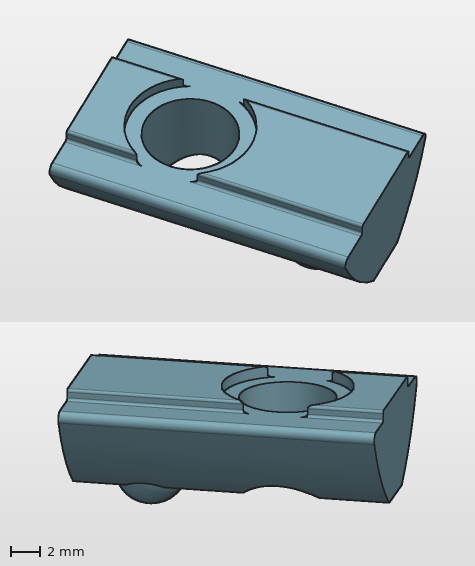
import cadquery as cq
import math

length = 22.0
width = 13.5
body_height = 7.2
total_height = 8.95
bottom_width = 4.0

rail_width = 7.8
rail_height = 0.8
rail_edge_radius = 0.2

edge_radius = 0.5
flank_radius = 15.0

bore_x = 7.5
bore_diameter = 6.65
recess_diameter = 9.0

ball_x = 17.0
ball_radius = 2.5

shoulder_z = -rail_height
bottom_z = -body_height


def flank_center():
    """Return (y, z) of the +Y flank arc center.

    The arc passes through the bottom corner and is internally tangent to
    the rounded long edge, so its center lies at known distances from both.
    """
    edge_y = width / 2 - edge_radius
    edge_z = shoulder_z - edge_radius
    corner_y = bottom_width / 2
    dy = edge_y - corner_y
    dz = edge_z - bottom_z
    span = math.hypot(dy, dz)
    to_edge = flank_radius - edge_radius
    along = (flank_radius**2 - to_edge**2 + span**2) / (2 * span)
    across = math.sqrt(flank_radius**2 - along**2)
    center_y = corner_y + (along * dy - across * dz) / span
    center_z = bottom_z + (along * dz + across * dy) / span
    return center_y, center_z


def point_on_arc(center, radius, angle):
    return center[0] + radius * math.cos(angle), center[1] + radius * math.sin(angle)


def half_body():
    """Extrude the +Y half of the cross-section along X."""
    edge_center = (width / 2 - edge_radius, shoulder_z - edge_radius)
    center = flank_center()
    tangent_angle = math.atan2(edge_center[1] - center[1], edge_center[0] - center[0])
    corner_angle = math.atan2(bottom_z - center[1], bottom_width / 2 - center[0])
    return (
        cq.Workplane("YZ")
        .moveTo(0, bottom_z)
        .lineTo(0, 0)
        .lineTo(rail_width / 2, 0)
        .lineTo(rail_width / 2, shoulder_z)
        .lineTo(edge_center[0], shoulder_z)
        .threePointArc(
            point_on_arc(edge_center, edge_radius, 0),
            point_on_arc(edge_center, edge_radius, tangent_angle),
        )
        .threePointArc(
            point_on_arc(center, flank_radius, (tangent_angle + corner_angle) / 2),
            (bottom_width / 2, bottom_z),
        )
        .close()
        .extrude(length)
    )


def rounded_body():
    """Join both halves and round the rail's top and root edges."""
    half = half_body()
    body = half.union(half.mirror("XZ")).clean()
    margin = rail_height / 4
    rail_edges = cq.selectors.BoxSelector(
        (0, -rail_width / 2 - margin, shoulder_z - margin),
        (length, rail_width / 2 + margin, margin),
    )
    return body.edges("|X").edges(rail_edges).fillet(rail_edge_radius)


def vertical_cylinder(x, diameter, top_z, floor_z):
    return (
        cq.Workplane("XY", origin=(x, 0, floor_z))
        .circle(diameter / 2)
        .extrude(top_z - floor_z)
    )


def ball():
    center_z = ball_radius - total_height
    return cq.Workplane("XY", origin=(ball_x, 0, center_z)).sphere(ball_radius)


bore = vertical_cylinder(bore_x, bore_diameter, 0, bottom_z)
recess = vertical_cylinder(bore_x, recess_diameter, 0, shoulder_z)

result = rounded_body().cut(recess).cut(bore).union(ball())